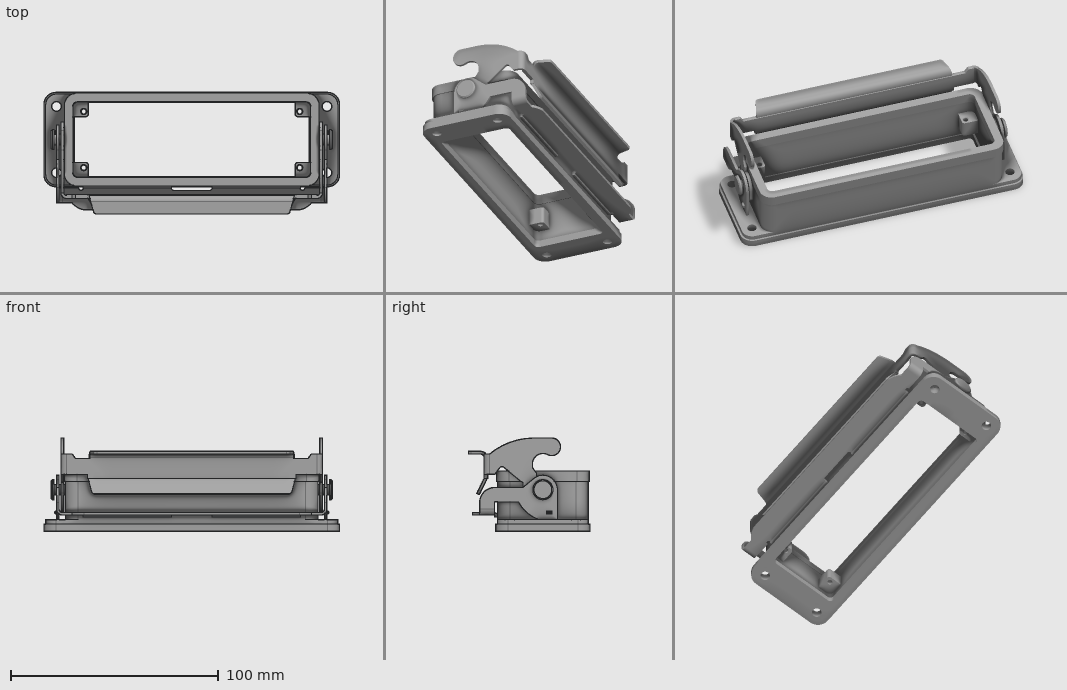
import cadquery as cq
import math

FLANGE_LENGTH = 142.5
FLANGE_WIDTH = 45.6
FLANGE_EDGE_HEIGHT = 3.5
FLANGE_HEIGHT = 5.7
FLANGE_STEP = 0.93
CORNER_RADIUS = 6.0
MOUNT_HOLE_X = 65.1
MOUNT_HOLE_Y = 16.0
MOUNT_HOLE_DIAMETER = 4.5

HOUSING_LENGTH = 121.7
HOUSING_WIDTH = FLANGE_WIDTH - 2 * FLANGE_STEP
HOUSING_HEIGHT = 29.2
RIM_BOTTOM = 24.1
RIM_OVERHANG = 0.5
CAVITY_LENGTH = 115.1
CAVITY_WIDTH = 36.8
CAVITY_RADIUS = 2.8
RIM_LIP = 0.3
OPENING_LENGTH = 113.1
OPENING_WIDTH = 35.6
OPENING_RADIUS = 2.0

BLOCK_LENGTH = 7.8
BLOCK_WIDTH = 7.4
BLOCK_BOTTOM = 9.3
BLOCK_TOP = 17.5
BLOCK_RADIUS = 1.4
SCREW_X = 52.0
SCREW_Y = 13.5
SCREW_DIAMETER = 2.4
SCREW_CHAMFER = 0.3
SCREW_COUNTERSINK_ANGLE = 90

PIVOT_Z = 20.1
PIN_RADIUS = 2.5
PIN_HEAD_RADIUS = 4.8
PIN_HEAD_INNER_X = 66.4
PIN_HEAD_OUTER_X = 67.7
PIN_HEAD_CHAMFER = 0.5

BRACKET_OUTER_X = 65.1
BRACKET_SHEET = 1.3
BRACKET_BEND = 3.0
BRACKET_HEAD_RADIUS = 7.0
BRACKET_TOE_Y = -2.0
BRACKET_TOE_MID_Y = -7.7
BRACKET_TOE_MID_Z = 9.1
ARM_BOTTOM_Y = -11.8
ARM_BOTTOM_Z = 14.2
ARM_TOP_Y = -9.5
ARM_TOP_Z = 21.2
ARM_ELBOW_RADIUS = 7.4
ARM_OUTER_Y = -30.5
FLOOR_BOTTOM = 7.8
FLOOR_INNER_Y = -23.2
FLOOR_FRONT_Y = -33.9
FLOOR_SHOULDER_X = 57.7
FLOOR_FRONT_X = 51.9
FLOOR_CURVE_X = 55.5
FLOOR_CURVE_Y = -32.5
FLOOR_HOLE_X = 53.3
FLOOR_HOLE_RADIUS = 1.1
SLOT_LENGTH = 19.7
SLOT_DEPTH = 1.3
SLOT_CHAMFER = 0.9
LEDGE_BOTTOM = 6.8
LEDGE_DROP = 0.5
LEDGE_INNER_X = 9.7
LEDGE_OUTER_X = 52.5
STUD_Y = 3.1
STUD_Z = 9.1
STUD_LENGTH = 2.5
STUD_HEIGHT = 1.5
STUD_DEPTH = 0.9
STUD_CHAMFER = 0.4

LEVER_OUTER_X = 63.0
LEVER_SHEET = 1.4
LEVER_TOP = 45.0
LEVER_FRONT_Y = -28.4
LEVER_BEND = 2.7
HOOK_Y = 4.3
BACK_FLAT_Y = -5.0
BACK_MID_Y = -16.4
BACK_MID_Z = 42.8
HOOK_RADIUS = 4.3
NOTCH_Z = 32.5
NOTCH_RADIUS = 5.0
NOTCH_END_Z = 30.8
NECK_Y = -3.0
NECK_Z = 28.0
SHANK_Y = -9.5
SHANK_Z = 23.5
CROTCH_RISE_Y = -10.5
CROTCH_RISE_Z = 24.1
CROTCH_Y = -20.0
CROTCH_Z = 31.8
CROTCH_RADIUS = 1.4
CROTCH_FOOT_Y = -23.1
LOBE_RADIUS = 5.7
LOBE_BOTTOM = 9.5
LOBE_HEEL_Z = 14.4
SHANK_FOOT_Z = 18.5
BAR_BOTTOM = 27.5
BAR_TOP = 37.3
BAR_BACKING = 0.4
RELIEF_Z = 35.2
RELIEF_OUTER_X = 57.5
RELIEF_SLOPE = 1.5
GRIP_X = 50.3
TAB_ROOT_X = 49.5
SKIRT_ROOT_X = 49.9
TAB_TIP_Y = -35.9
TAB_TOP = 38.6
TAB_BEND = 3.0
TAB_TIP_X = 47.0
TAB_CORNER_RADIUS = 1.7
SKIRT_TOP = 25.5
SKIRT_BOTTOM = 17.7
SKIRT_ANGLE = 26.0
SKIRT_TIP_X = 47.9
SKIRT_CORNER_RADIUS = 2.5


def rounded_block(length, width, radius, bottom, top):
    """Upright block centred on Z with rounded vertical edges."""
    block = cq.Workplane("XY").workplane(offset=bottom).rect(length, width).extrude(top - bottom)
    return block.edges("|Z").fillet(radius)


def on_both_ends(body):
    """A body at the +X end together with its mirror image at the -X end."""
    return body.union(body.mirror("YZ"))


def make_housing():
    flange = rounded_block(FLANGE_LENGTH, FLANGE_WIDTH, CORNER_RADIUS, 0, FLANGE_EDGE_HEIGHT)
    step = rounded_block(
        FLANGE_LENGTH - 2 * FLANGE_STEP,
        FLANGE_WIDTH - 2 * FLANGE_STEP,
        CORNER_RADIUS - FLANGE_STEP,
        0,
        FLANGE_HEIGHT,
    )
    walls = rounded_block(HOUSING_LENGTH, HOUSING_WIDTH, CORNER_RADIUS, 0, HOUSING_HEIGHT)
    rim = rounded_block(
        HOUSING_LENGTH + 2 * RIM_OVERHANG,
        HOUSING_WIDTH + 2 * RIM_OVERHANG,
        CORNER_RADIUS,
        RIM_BOTTOM,
        HOUSING_HEIGHT,
    )
    cavity = rounded_block(
        CAVITY_LENGTH, CAVITY_WIDTH, CAVITY_RADIUS, FLANGE_EDGE_HEIGHT, RIM_BOTTOM
    )
    mouth = rounded_block(
        CAVITY_LENGTH - 2 * RIM_LIP,
        CAVITY_WIDTH - 2 * RIM_LIP,
        CAVITY_RADIUS - RIM_LIP,
        RIM_BOTTOM,
        HOUSING_HEIGHT,
    )
    opening = rounded_block(OPENING_LENGTH, OPENING_WIDTH, OPENING_RADIUS, 0, HOUSING_HEIGHT)
    mount_holes = (
        cq.Workplane("XY")
        .rect(2 * MOUNT_HOLE_X, 2 * MOUNT_HOLE_Y, forConstruction=True)
        .vertices()
        .circle(MOUNT_HOLE_DIAMETER / 2)
        .extrude(FLANGE_HEIGHT)
    )
    housing = flange.union(step).union(walls).union(rim)
    return housing.cut(cavity).cut(mouth).cut(opening).cut(mount_holes)


def make_corner_block(side_x, side_y):
    """Block filling one cavity corner, reaching slightly into the walls around it."""
    wall_overlap = CAVITY_RADIUS / 2
    length = BLOCK_LENGTH + wall_overlap
    width = BLOCK_WIDTH + wall_overlap
    center_x = CAVITY_LENGTH / 2 + wall_overlap - length / 2
    center_y = CAVITY_WIDTH / 2 + wall_overlap - width / 2
    block = rounded_block(length, width, BLOCK_RADIUS, BLOCK_BOTTOM, BLOCK_TOP)
    block = block.translate((side_x * center_x, side_y * center_y, 0))
    return (
        block.faces(">Z")
        .workplane(origin=(side_x * SCREW_X, side_y * SCREW_Y, 0))
        .cskHole(SCREW_DIAMETER, SCREW_DIAMETER + 2 * SCREW_CHAMFER, SCREW_COUNTERSINK_ANGLE)
    )


def make_pin():
    """Pivot pin at the +X end, rooted in the housing wall."""
    root_x = (HOUSING_LENGTH + CAVITY_LENGTH) / 4
    shank = (
        cq.Workplane("YZ", origin=(root_x, 0, PIVOT_Z))
        .circle(PIN_RADIUS)
        .extrude(PIN_HEAD_INNER_X - root_x)
    )
    head = (
        cq.Workplane("YZ", origin=(PIN_HEAD_INNER_X, 0, PIVOT_Z))
        .circle(PIN_HEAD_RADIUS)
        .extrude(PIN_HEAD_OUTER_X - PIN_HEAD_INNER_X)
        .faces(">X")
        .chamfer(PIN_HEAD_CHAMFER)
    )
    return shank.union(head)


def make_bracket_end():
    """End plate at the +X end, standing on the flange, with its arm and stud."""
    diagonal = BRACKET_HEAD_RADIUS * math.sqrt(0.5)
    elbow_y = ARM_OUTER_Y + ARM_ELBOW_RADIUS
    elbow_z = ARM_TOP_Z - ARM_ELBOW_RADIUS
    elbow_diagonal = ARM_ELBOW_RADIUS * math.sqrt(0.5)
    toe_mid = (BRACKET_TOE_MID_Y, BRACKET_TOE_MID_Z)
    plate = (
        cq.Workplane("YZ", origin=(BRACKET_OUTER_X - BRACKET_SHEET, 0, 0))
        .moveTo(BRACKET_HEAD_RADIUS, FLANGE_HEIGHT)
        .lineTo(BRACKET_HEAD_RADIUS, PIVOT_Z)
        .threePointArc((0, PIVOT_Z + BRACKET_HEAD_RADIUS), (-diagonal, PIVOT_Z + diagonal))
        .lineTo(ARM_TOP_Y, ARM_TOP_Z)
        .lineTo(elbow_y, ARM_TOP_Z)
        .threePointArc(
            (elbow_y - elbow_diagonal, elbow_z + elbow_diagonal), (ARM_OUTER_Y, elbow_z)
        )
        .lineTo(ARM_OUTER_Y, FLOOR_BOTTOM + BRACKET_BEND)
        .lineTo(FLOOR_INNER_Y, FLOOR_BOTTOM + BRACKET_BEND)
        .lineTo(FLOOR_INNER_Y, ARM_BOTTOM_Z)
        .lineTo(ARM_BOTTOM_Y, ARM_BOTTOM_Z)
        .threePointArc(toe_mid, (BRACKET_TOE_Y, FLANGE_HEIGHT))
        .close()
        .extrude(BRACKET_SHEET)
    )
    stud = (
        cq.Workplane("YZ", origin=(BRACKET_OUTER_X, STUD_Y, STUD_Z))
        .rect(STUD_LENGTH, STUD_HEIGHT)
        .extrude(STUD_DEPTH)
        .faces(">X")
        .chamfer(STUD_CHAMFER)
    )
    return plate.union(stud)


def bent_strip(workplane, half_length, sheet, bend, width):
    """Straight strip of sheet along local X, its two ends bent round towards local +Y."""
    inner_bend = bend - sheet
    return (
        workplane.moveTo(-half_length, bend)
        .radiusArc((bend - half_length, 0), -bend)
        .lineTo(half_length - bend, 0)
        .radiusArc((half_length, bend), -bend)
        .lineTo(half_length - sheet, bend)
        .radiusArc((half_length - bend, sheet), inner_bend)
        .lineTo(bend - half_length, sheet)
        .radiusArc((sheet - half_length, bend), inner_bend)
        .close()
        .extrude(width)
    )


def make_bracket_floor():
    """Floor strip with upturned ends, hung from ledges on the housing wall."""
    strip = bent_strip(
        cq.Workplane("XZ", origin=(0, FLOOR_INNER_Y, FLOOR_BOTTOM)),
        BRACKET_OUTER_X,
        BRACKET_SHEET,
        BRACKET_BEND,
        FLOOR_INNER_Y - FLOOR_FRONT_Y,
    )
    outline = (
        cq.Workplane("XY")
        .moveTo(BRACKET_OUTER_X, FLOOR_INNER_Y)
        .lineTo(BRACKET_OUTER_X, ARM_OUTER_Y)
        .lineTo(FLOOR_SHOULDER_X, ARM_OUTER_Y)
        .threePointArc((FLOOR_CURVE_X, FLOOR_CURVE_Y), (FLOOR_FRONT_X, FLOOR_FRONT_Y))
        .lineTo(-FLOOR_FRONT_X, FLOOR_FRONT_Y)
        .threePointArc((-FLOOR_CURVE_X, FLOOR_CURVE_Y), (-FLOOR_SHOULDER_X, ARM_OUTER_Y))
        .lineTo(-BRACKET_OUTER_X, ARM_OUTER_Y)
        .lineTo(-BRACKET_OUTER_X, FLOOR_INNER_Y)
        .close()
        .extrude(HOUSING_HEIGHT)
    )
    slot = (
        cq.Workplane("XY")
        .rect(SLOT_LENGTH, 2 * SLOT_DEPTH)
        .extrude(HOUSING_HEIGHT)
        .edges("|Z and <Y")
        .chamfer(SLOT_CHAMFER)
        .translate((0, FLOOR_INNER_Y, 0))
    )
    holes = (
        cq.Workplane("XY")
        .pushPoints([(-FLOOR_HOLE_X, FLOOR_INNER_Y), (FLOOR_HOLE_X, FLOOR_INNER_Y)])
        .circle(FLOOR_HOLE_RADIUS)
        .extrude(HOUSING_HEIGHT)
    )
    ledge_root_y = -(HOUSING_WIDTH + CAVITY_WIDTH) / 4
    ledge_top = FLOOR_BOTTOM + BRACKET_SHEET
    ledge = (
        cq.Workplane("YZ", origin=(LEDGE_INNER_X, 0, 0))
        .moveTo(FLOOR_INNER_Y, LEDGE_BOTTOM)
        .lineTo(ledge_root_y, LEDGE_BOTTOM)
        .lineTo(ledge_root_y, ledge_top - LEDGE_DROP)
        .lineTo(-HOUSING_WIDTH / 2, ledge_top - LEDGE_DROP)
        .lineTo(FLOOR_INNER_Y, ledge_top)
        .close()
        .extrude(LEDGE_OUTER_X - LEDGE_INNER_X)
    )
    return strip.intersect(outline).cut(slot).cut(holes).union(on_both_ends(ledge))


def make_lever_end():
    """Hooked side plate at the +X end, hanging on the pivot pin."""
    hook_z = LEVER_TOP - HOOK_RADIUS
    hook_share = HOOK_RADIUS / (HOOK_RADIUS + NOTCH_RADIUS)
    hook_meets_notch = (
        HOOK_Y * (1 - hook_share),
        hook_z + (NOTCH_Z - hook_z) * hook_share,
    )
    notch_diagonal = NOTCH_RADIUS * math.sqrt(0.5)
    bend_y = LEVER_FRONT_Y + LEVER_BEND
    neck_foot_z = PIVOT_Z + math.sqrt(LOBE_RADIUS**2 - NECK_Y**2)
    lobe_bottom_mid_y = (SHANK_Y + LOBE_RADIUS) / 2
    plate = (
        cq.Workplane("YZ", origin=(LEVER_OUTER_X - LEVER_SHEET, 0, 0))
        .moveTo(bend_y, BAR_TOP)
        .threePointArc((BACK_MID_Y, BACK_MID_Z), (BACK_FLAT_Y, LEVER_TOP))
        .lineTo(HOOK_Y, LEVER_TOP)
        .threePointArc((HOOK_Y + HOOK_RADIUS, hook_z), hook_meets_notch)
        .threePointArc((-notch_diagonal, NOTCH_Z + notch_diagonal), (-NOTCH_RADIUS, NOTCH_Z))
        .lineTo(-NOTCH_RADIUS, NOTCH_END_Z)
        .lineTo(NECK_Y, NECK_Z)
        .lineTo(NECK_Y, neck_foot_z)
        .threePointArc((0, PIVOT_Z + LOBE_RADIUS), (LOBE_RADIUS, PIVOT_Z))
        .lineTo(LOBE_RADIUS, LOBE_HEEL_Z)
        .threePointArc((lobe_bottom_mid_y, LOBE_BOTTOM), (SHANK_Y, SHANK_FOOT_Z))
        .lineTo(SHANK_Y, SHANK_Z)
        .lineTo(CROTCH_RISE_Y, CROTCH_RISE_Z)
        .lineTo(CROTCH_Y, CROTCH_Z)
        .lineTo(CROTCH_FOOT_Y, BAR_BOTTOM)
        .lineTo(bend_y, BAR_BOTTOM)
        .close()
        .extrude(LEVER_SHEET)
    )
    crotch = cq.selectors.NearestToPointSelector((LEVER_OUTER_X, CROTCH_Y, CROTCH_Z))
    return plate.edges("|X").edges(crotch).fillet(CROTCH_RADIUS)


def make_lever_bar():
    """Front bar with bent ends, a backing strip, and a lowered middle stretch on its top edge."""
    bar = bent_strip(
        cq.Workplane("XY", origin=(0, LEVER_FRONT_Y, BAR_BOTTOM)),
        LEVER_OUTER_X,
        LEVER_SHEET,
        LEVER_BEND,
        BAR_TOP - BAR_BOTTOM,
    )
    relief = (
        cq.Workplane("XZ")
        .moveTo(-RELIEF_OUTER_X, BAR_TOP)
        .lineTo(RELIEF_SLOPE - RELIEF_OUTER_X, RELIEF_Z)
        .lineTo(RELIEF_OUTER_X - RELIEF_SLOPE, RELIEF_Z)
        .lineTo(RELIEF_OUTER_X, BAR_TOP)
        .close()
        .extrude(FLANGE_WIDTH)
    )
    inner_y = LEVER_FRONT_Y + LEVER_SHEET
    backing_length = 2 * (LEVER_OUTER_X - LEVER_BEND)
    backing = cq.Workplane("XY").box(
        backing_length, BAR_BACKING, BAR_TOP - BAR_BOTTOM, centered=(True, False, False)
    )
    backing = backing.translate((0, inner_y, BAR_BOTTOM))
    apron = cq.Workplane("XY").box(
        2 * GRIP_X, LEVER_SHEET + BAR_BACKING, BAR_BOTTOM - SKIRT_TOP, centered=(True, False, False)
    )
    apron = apron.translate((0, LEVER_FRONT_Y, SKIRT_TOP))
    return bar.union(backing).cut(relief).union(apron)


def flap_trim(plane, root, root_x, tip, tip_x, radius):
    """Trapezoid, rounded at its narrow end, that trims a flap to shape."""
    blank = (
        cq.Workplane(plane)
        .moveTo(-root_x, root)
        .lineTo(root_x, root)
        .lineTo(tip_x, tip)
        .lineTo(-tip_x, tip)
        .close()
        .extrude(2 * FLANGE_WIDTH, both=True)
    )
    narrow_end = "|Z and <Y" if plane == "XY" else "|Y and <Z"
    return blank.edges(narrow_end).fillet(radius)


def make_grip():
    """Middle of the front bar: a flat tab bent outwards above, a sloping skirt below."""
    inner_y = LEVER_FRONT_Y + LEVER_SHEET
    inner_bend = TAB_BEND - LEVER_SHEET
    tab_bend_y = inner_y - TAB_BEND
    tab_bottom = TAB_TOP - LEVER_SHEET
    bend_bottom = TAB_TOP - TAB_BEND
    tab = (
        cq.Workplane("YZ", origin=(-GRIP_X, 0, 0))
        .moveTo(inner_y, RELIEF_Z)
        .lineTo(inner_y, bend_bottom)
        .radiusArc((tab_bend_y, TAB_TOP), -TAB_BEND)
        .lineTo(TAB_TIP_Y, TAB_TOP)
        .lineTo(TAB_TIP_Y, tab_bottom)
        .lineTo(tab_bend_y, tab_bottom)
        .radiusArc((LEVER_FRONT_Y, bend_bottom), inner_bend)
        .lineTo(LEVER_FRONT_Y, RELIEF_Z)
        .close()
        .extrude(2 * GRIP_X)
    )
    tab_trim = flap_trim(
        "XY", inner_y, TAB_ROOT_X, TAB_TIP_Y, TAB_TIP_X, TAB_CORNER_RADIUS
    )

    slope = math.radians(SKIRT_ANGLE)
    edge_y = LEVER_SHEET * math.cos(slope)
    edge_z = LEVER_SHEET * math.sin(slope)
    corner_shift = LEVER_SHEET * math.tan(slope / 2)
    inner_fold_z = SKIRT_TOP - corner_shift
    tip_y = inner_y - (inner_fold_z - SKIRT_BOTTOM) * math.tan(slope)
    skirt = (
        cq.Workplane("YZ", origin=(-GRIP_X, 0, 0))
        .moveTo(LEVER_FRONT_Y, BAR_BOTTOM)
        .lineTo(LEVER_FRONT_Y, SKIRT_TOP)
        .lineTo(tip_y - edge_y, SKIRT_BOTTOM + edge_z)
        .lineTo(tip_y, SKIRT_BOTTOM)
        .lineTo(inner_y, inner_fold_z)
        .lineTo(inner_y, BAR_BOTTOM)
        .close()
        .extrude(2 * GRIP_X)
    )
    skirt_trim = flap_trim(
        "XZ", SKIRT_TOP, SKIRT_ROOT_X, SKIRT_BOTTOM, SKIRT_TIP_X, SKIRT_CORNER_RADIUS
    )
    return tab.intersect(tab_trim).union(skirt.intersect(skirt_trim))


result = make_housing()
for side_x in (-1, 1):
    for side_y in (-1, 1):
        result = result.union(make_corner_block(side_x, side_y))
result = result.union(on_both_ends(make_pin()))
result = result.union(on_both_ends(make_bracket_end()))
result = result.union(make_bracket_floor())
result = result.union(on_both_ends(make_lever_end()))
result = result.union(make_lever_bar())
result = result.union(make_grip())